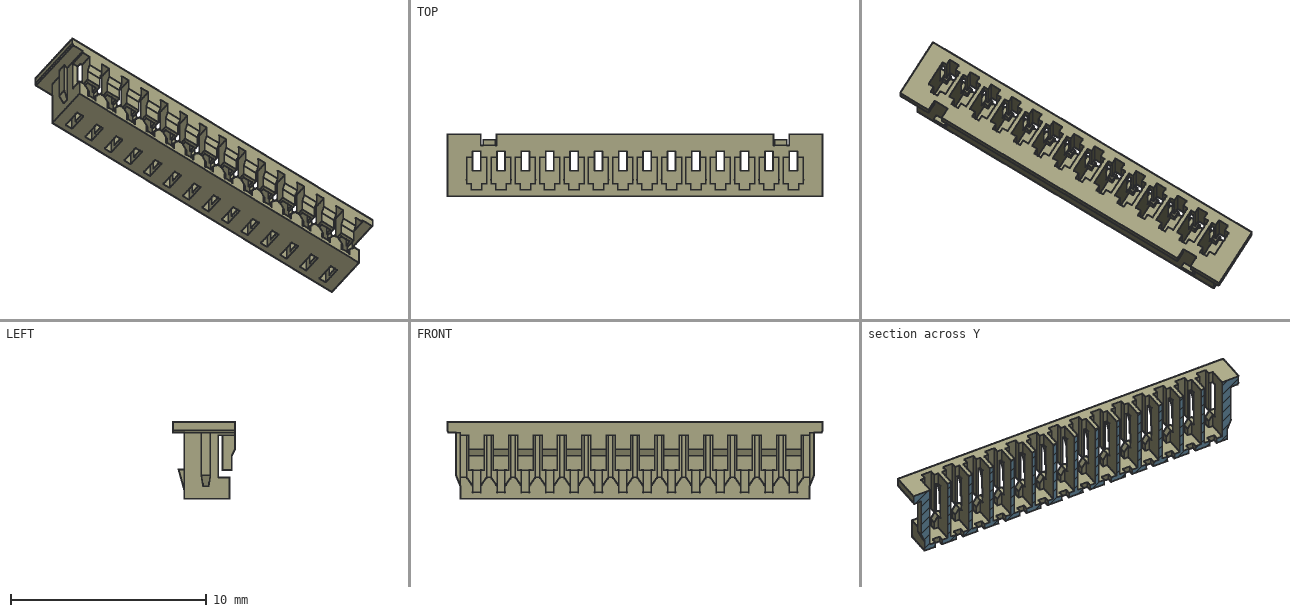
import cadquery as cq

flange_length = 19.25
flange_depth = 3.2
height = 3.95
flange_thickness = 0.55
end_chamfer_run = 0.05
end_chamfer_rise = 0.12
flange_bottom = height - flange_thickness

body_length = 17.9
body_back = 2.62
base_front = 0.29
base_height = 1.1
wall_front = 0.87
window_top = 3.25

contact_count = 14
contact_span = 16.25
pitch = contact_span / (contact_count - 1)
contact_xs = [i * pitch - contact_span / 2 for i in range(contact_count)]

cavity_width = 1.02
cavity_front = 0.65
cavity_back = 2.02
cavity_floor = 0.33
notch_width = 0.54
notch_front = 0.35
slot_width = 0.4
slot_front = 1.33
slot_back = 2.31
funnel_depth = 0.45

tongue_width = 0.79
tongue_bottom = 1.46
tongue_step = 0.17
step_top = 2.55
step_bottom = 2.2

latch_spacing = 14.94
latch_width = 0.64
latch_top = 1.5
latch_bottom = 0.46
latch_reach = 0.29
recess_spacing = 15.02
recess_width = 0.79

key_y = 1.5
key_reach = 0.23
key_tip_width = 0.46
key_root_width = 0.29
key_tip_bottom = 1.2
key_root_bottom = 0.64


def box(x_center, width, y_range, z_range):
    """Box centred on x_center, spanning the given (low, high) Y and Z ranges."""
    depth = y_range[1] - y_range[0]
    rise = z_range[1] - z_range[0]
    return (
        cq.Workplane("XY")
        .box(width, depth, rise, centered=(True, False, False))
        .translate((x_center, y_range[0], z_range[0]))
    )


def side_prism(x_center, width, yz_points):
    """Closed YZ outline extruded along X, centred on x_center."""
    return (
        cq.Workplane("YZ", origin=(x_center, 0, 0))
        .polyline(yz_points)
        .close()
        .extrude(width / 2, both=True)
    )


def flange():
    """Top plate, with the lower edge of both ends chamfered steeply."""
    half_length = flange_length / 2
    half_underside = half_length - end_chamfer_run
    chamfer_top = flange_bottom + end_chamfer_rise
    return (
        cq.Workplane("XZ")
        .polyline(
            [
                (-half_underside, flange_bottom),
                (half_underside, flange_bottom),
                (half_length, chamfer_top),
                (half_length, height),
                (-half_length, height),
                (-half_length, chamfer_top),
            ]
        )
        .close()
        .extrude(-flange_depth)
    )


def body():
    """Block with an open window between the base and the upper front lip."""
    outline = [
        (base_front, 0),
        (body_back, 0),
        (body_back, flange_bottom),
        (0, flange_bottom),
        (0, window_top),
        (wall_front, window_top),
        (wall_front, base_height),
        (base_front, base_height),
    ]
    return side_prism(0, body_length, outline)


def tongue(x):
    """Hanging tongue whose front face steps back towards its free end."""
    outline = [
        (0, window_top),
        (cavity_front, window_top),
        (cavity_front, tongue_bottom),
        (tongue_step, tongue_bottom),
        (tongue_step, step_bottom),
        (0, step_top),
    ]
    return side_prism(x, tongue_width, outline)


def cavity(x):
    """Contact cavity with its front notch, rear through slot and base funnel."""
    top_open = (cavity_floor, height)
    pocket = box(x, cavity_width, (cavity_front, cavity_back), top_open)
    notch = box(x, notch_width, (notch_front, cavity_front), top_open)
    through_slot = box(x, slot_width, (slot_front, slot_back), (0, height))
    half_slot = slot_width / 2
    half_cavity = cavity_width / 2
    funnel = (
        cq.Workplane("XZ", origin=(x, base_front, 0))
        .polyline(
            [
                (-half_slot, cavity_floor),
                (half_slot, cavity_floor),
                (half_slot, base_height - funnel_depth),
                (half_cavity, base_height),
                (-half_cavity, base_height),
                (-half_slot, base_height - funnel_depth),
            ]
        )
        .close()
        .extrude(base_front - cavity_front)
    )
    return pocket.union(notch).union(through_slot).union(funnel)


def latch(x):
    """Wedge on the back face with a flat catch on top."""
    outline = [
        (body_back, latch_bottom),
        (body_back + latch_reach, latch_top),
        (body_back, latch_top),
    ]
    return side_prism(x, latch_width, outline)


def end_key(side):
    """Dovetail key, wider at its tip, tapering into the end face at the bottom."""
    root_x = side * body_length / 2
    tip_x = root_x + side * key_reach
    dovetail = (
        cq.Workplane("XY")
        .polyline(
            [
                (root_x, key_y - key_root_width / 2),
                (tip_x, key_y - key_tip_width / 2),
                (tip_x, key_y + key_tip_width / 2),
                (root_x, key_y + key_root_width / 2),
            ]
        )
        .close()
        .extrude(flange_bottom)
    )
    taper = (
        cq.Workplane("XZ", origin=(0, key_y, 0))
        .polyline(
            [
                (root_x, flange_bottom),
                (root_x, key_root_bottom),
                (tip_x, key_tip_bottom),
                (tip_x, flange_bottom),
            ]
        )
        .close()
        .extrude(key_tip_width, both=True)
    )
    return dovetail.intersect(taper)


result = body().union(flange())

for contact_x in contact_xs:
    result = result.union(tongue(contact_x))
for contact_x in contact_xs:
    result = result.cut(cavity(contact_x))

for side in (-1, 1):
    latch_x = side * latch_spacing / 2
    recess_x = side * recess_spacing / 2
    recess = box(recess_x, recess_width, (body_back, flange_depth), (flange_bottom, height))
    result = result.cut(recess).union(latch(latch_x)).union(end_key(side))